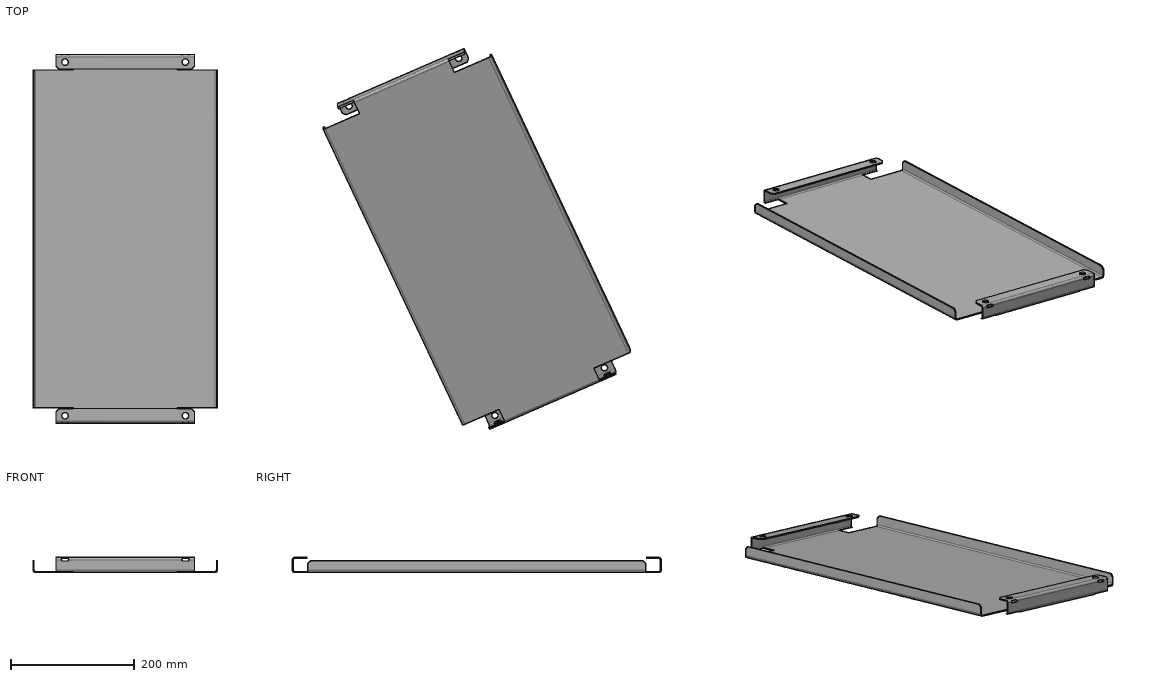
import cadquery as cq

length = 600.0
width = 300.0
height = 25.0
sheet = 2.0
bend_radius = 4.0

side_height = 20.0
side_chamfer = 5.0
body_length = 549.5

end_width = 225.5
neck_width = 169.0
flange_depth = 24.0
flange_chamfer = 5.0

hole_diameter = 10.0
hole_spacing_x = 195.5
hole_spacing_y = 575.0

slot_length = 12.0
slot_height = 3.5
slot_centre_z = 21.0

inner_radius = bend_radius - sheet
wall_bottom = sheet


def box(size_x, size_y, bottom, top):
    """Box centred on the Z axis between two heights."""
    block = cq.Workplane("XY").box(size_x, size_y, top - bottom, centered=(True, True, False))
    return block.translate((0, 0, bottom))


def make_tray():
    """Floor with a bent-up wall along each long side."""
    outer = box(width, body_length, 0, side_height).edges("|Y and <Z").fillet(bend_radius)
    cavity = box(width - 2 * sheet, body_length, sheet, side_height)
    cavity = cavity.edges("|Y and <Z").fillet(inner_radius)
    return outer.cut(cavity).edges("|X and >Z").chamfer(side_chamfer)


def make_end_channels():
    """C-shaped loop whose two ends form the neck, end wall and flange."""
    outer = box(end_width, length, 0, height).edges("|X").fillet(bend_radius)
    cavity = box(end_width, length - 2 * sheet, sheet, height - sheet)
    cavity = cavity.edges("|X").fillet(inner_radius)
    loop = outer.cut(cavity)

    opening_length = length - 2 * flange_depth
    loop = loop.cut(box(end_width, opening_length, height / 2, height))
    for side in (-1, 1):
        for end in (-1, 1):
            corner_x = side * end_width / 2
            corner_y = end * opening_length / 2
            corner = (
                cq.Workplane("XY", origin=(0, 0, height / 2))
                .moveTo(corner_x, corner_y)
                .lineTo(corner_x - side * flange_chamfer, corner_y)
                .lineTo(corner_x, corner_y + end * flange_chamfer)
                .close()
                .extrude(height)
            )
            loop = loop.cut(corner)

    relief = box(end_width, length, 0, wall_bottom).cut(box(neck_width, length, 0, wall_bottom))
    return loop.cut(relief)


def make_holes():
    """Vertical cutters through the end flanges only."""
    return (
        cq.Workplane("XY", origin=(0, 0, height / 2))
        .rarray(hole_spacing_x, hole_spacing_y, 2, 2)
        .circle(hole_diameter / 2)
        .extrude(height)
    )


def make_wall_slots():
    """Horizontal cutters through both end walls."""
    return (
        cq.Workplane("XZ", origin=(0, 0, slot_centre_z))
        .rarray(hole_spacing_x, 6, 2, 1)
        .slot2D(slot_length, slot_height)
        .extrude(length, both=True)
    )


result = make_tray().union(make_end_channels()).cut(make_holes()).cut(make_wall_slots())